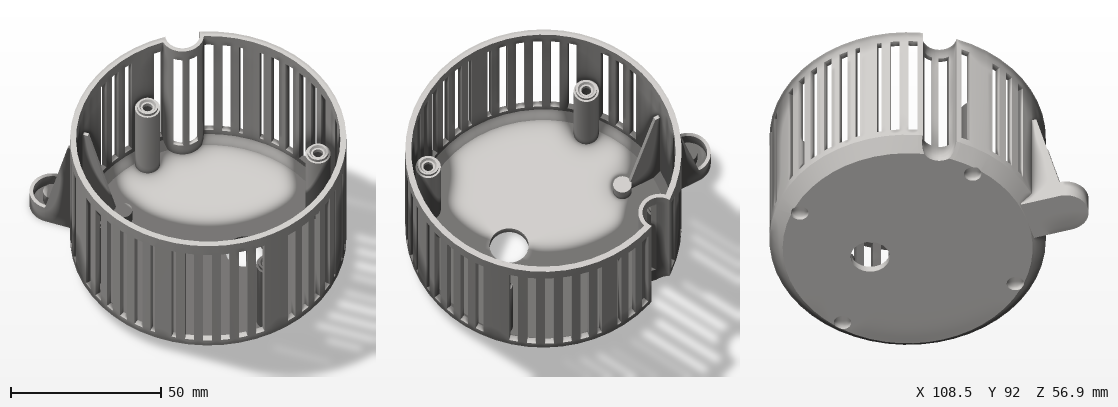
import cadquery as cq
import math

outer_radius = 46.0
wall = 2.0
height = 56.9
base_chamfer = 4.4
floor_thickness = 2.5
inner_radius = outer_radius - wall
inner_chamfer_height = 2.6

slot_pitch = 7.5
slot_width = 3.0
slot_bottom = 7.1
slot_top = 52.3
slot_inner_radius = 36.0
solid_rib_width = 5.9
post_sector_angle = 41.25
plain_sector_half_angle = 15.0

notch_angle = 120.0
notch_centre_distance = 45.3
notch_radius = 5.75
notch_wall = 1.4

post_x = 30.0
post_y = 25.0
post_radius = 4.2
post_shoulder = 31.9
post_top = 33.0
collar_radius = 3.5
countersink_radius = 2.8
seat_radius = 2.3
seat_height = 32.2
screw_hole_radius = 1.65
screw_head_radius = 2.9
screw_head_depth = 30.8

floor_hole_x = 13.0
floor_hole_radius = 6.5

tab_x = -54.9
tab_radius = 7.6
tab_wall = 1.2
tab_height = 7.1
gusset_top = 42.0
gusset_top_x = -46.9
tab_fillet = 1.0
tab_inner_x = -outer_radius + base_chamfer

peg_radius = 3.1
peg_top = 7.1
floor_peg_x = -30.0
rib_width = 1.2
rib_top_x = -42.2
rib_foot_x = -32.7


def cylinder(radius, bottom, top, x=0.0, y=0.0):
    return cq.Workplane("XY", origin=(x, y, bottom)).circle(radius).extrude(top - bottom)


def plate_along_x(points, width, y=0.0):
    """Plate of the given width, centred on y, from an outline of (x, z) points."""
    plate = cq.Workplane("XZ", origin=(0, y, 0)).polyline(points).close()
    return plate.extrude(width / 2, both=True)


def outer_body():
    return cylinder(outer_radius, 0, height).faces("<Z").chamfer(base_chamfer)


def cavity():
    body = cylinder(inner_radius, floor_thickness, height)
    return body.faces("<Z").chamfer(inner_chamfer_height)


def notch_cylinder(radius):
    x = notch_centre_distance * math.cos(math.radians(notch_angle))
    y = notch_centre_distance * math.sin(math.radians(notch_angle))
    return cylinder(radius, 0, height, x, y)


def has_slot(angle):
    """No slots beside the tab (-X) or in line with the four posts."""
    from_x_axis = min(angle, 360 - angle, abs(180 - angle))
    beside_tab = abs(180 - angle) < plain_sector_half_angle
    return from_x_axis != post_sector_angle and not beside_tab


def axis_ribs():
    """Bars whose meeting with the wall stays solid on the +X, +Y and -Y axes."""
    length = 2 * (outer_radius + wall)
    along_x = cq.Workplane("XY").box(length, solid_rib_width, height, centered=(True, True, False))
    along_y = cq.Workplane("XY").box(solid_rib_width, length, height, centered=(True, True, False))
    return along_x.union(along_y)


def cut_vent_slots(body):
    slot_length = outer_radius + wall - slot_inner_radius
    slot_height = slot_top - slot_bottom
    slot = cq.Workplane("XY").box(slot_length, slot_width, slot_height, centered=(False, True, False))
    slot = slot.translate((slot_inner_radius, 0, slot_bottom))
    ribs = axis_ribs()
    for index in range(round(360 / slot_pitch)):
        angle = (index + 0.5) * slot_pitch
        if has_slot(angle):
            body = body.cut(slot.rotate((0, 0, 0), (0, 0, 1), angle).cut(ribs))
    return body


def tab_bar(radius, bottom, top):
    """Round-ended bar that runs from the tab centre inwards to the foot of the shell wall."""
    bar_length = tab_inner_x - tab_x
    bar = cq.Workplane("XY").box(bar_length, 2 * radius, top - bottom, centered=(False, True, False))
    return cylinder(radius, bottom, top, tab_x).union(bar.translate((tab_x, 0, bottom)))


def tab():
    block = tab_bar(tab_radius, 0, tab_height)
    outline = [
        (tab_x, 0),
        (tab_x, tab_height),
        (gusset_top_x, gusset_top),
        (tab_inner_x, gusset_top),
        (tab_inner_x, 0),
    ]
    for side in (-1, 1):
        block = block.union(plate_along_x(outline, tab_wall, side * (tab_radius - tab_wall / 2)))
    return block


def tab_pocket():
    """Pocket of the tab, ending at the shell wall with a fillet along its foot."""
    pocket = tab_bar(tab_radius - tab_wall, floor_thickness, gusset_top)
    pocket = pocket.cut(cylinder(outer_radius, 0, height))
    wall_foot = cq.selectors.NearestToPointSelector((-outer_radius, 0, floor_thickness))
    return pocket.edges(wall_foot).fillet(tab_fillet)


def shell():
    lining = notch_cylinder(notch_radius + notch_wall).intersect(outer_body())
    body = outer_body().union(tab()).cut(tab_pocket())
    body = body.union(cylinder(peg_radius, 0, peg_top, tab_x))
    body = body.cut(cavity()).union(lining).cut(notch_cylinder(notch_radius))
    return cut_vent_slots(body)


def floor_peg():
    """Peg with a tapering rib that ties it to the shell wall."""
    peg = cylinder(peg_radius, 0, peg_top, floor_peg_x)
    wall_x = -inner_radius - wall / 2
    outline = [
        (wall_x, floor_thickness),
        (wall_x, gusset_top),
        (rib_top_x, gusset_top),
        (rib_foot_x, peg_top),
        (rib_foot_x, floor_thickness),
    ]
    return peg.union(plate_along_x(outline, rib_width))


def at_posts(feature):
    return [feature.translate((x, y, 0)) for x in (-post_x, post_x) for y in (-post_y, post_y)]


def post():
    collar = cylinder(collar_radius, floor_thickness, post_top)
    return cylinder(post_radius, floor_thickness, post_shoulder).union(collar)


def post_bore():
    cone_height = post_top - seat_height
    cone = cq.Workplane("XY", origin=(0, 0, seat_height)).circle(seat_radius)
    cone = cone.workplane(offset=cone_height).circle(countersink_radius).loft()
    screw_head_recess = cylinder(screw_head_radius, 0, screw_head_depth)
    return cylinder(screw_hole_radius, 0, post_top).union(cone).union(screw_head_recess)


result = shell().union(floor_peg())
for solid_post in at_posts(post()):
    result = result.union(solid_post)
for bore in at_posts(post_bore()):
    result = result.cut(bore)
result = result.cut(cylinder(floor_hole_radius, 0, floor_thickness, floor_hole_x))